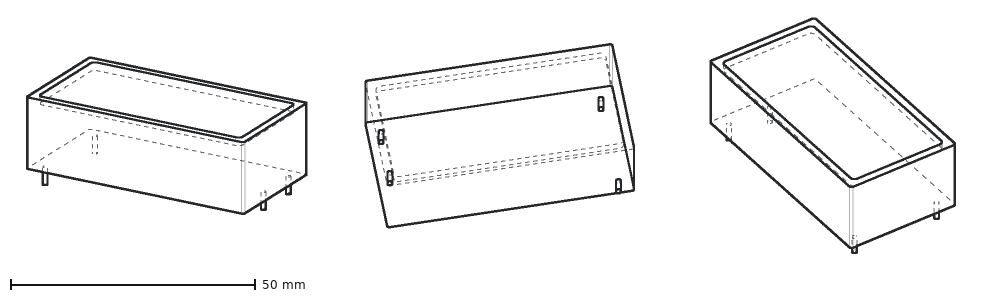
import cadquery as cq

LENGTH = 51.4
WIDTH = 26.0
TOTAL_HEIGHT = 19.55
PIN_LENGTH = 3.8
HOUSING_HEIGHT = TOTAL_HEIGHT - PIN_LENGTH
CORNER_RADIUS = 0.5

RIM_WIDTH = 1.8
PANEL_LENGTH = LENGTH - 2 * RIM_WIDTH
PANEL_WIDTH = WIDTH - 2 * RIM_WIDTH
PANEL_RADIUS = 1.0
PANEL_THICKNESS = RIM_WIDTH

PIN_DIAMETER = 1.05
PIN_X = 22.85
PIN_Y = 10.2
PIN_POSITIONS = [(-PIN_X, -PIN_Y), (-PIN_X, PIN_Y), (PIN_X, 0), (PIN_X, PIN_Y)]


def rounded_block(length, width, height, radius, bottom):
    """Block centred on the Z axis, with rounded vertical edges."""
    block = cq.Workplane("XY").workplane(offset=bottom).rect(length, width).extrude(height)
    return block.edges("|Z").fillet(radius)


def make_panel():
    """Panel whose top face is flush with the top of the housing."""
    bottom = HOUSING_HEIGHT - PANEL_THICKNESS
    return rounded_block(PANEL_LENGTH, PANEL_WIDTH, PANEL_THICKNESS, PANEL_RADIUS, bottom)


def make_housing():
    """Rounded box with a recess that the panel fills."""
    box = rounded_block(LENGTH, WIDTH, HOUSING_HEIGHT, CORNER_RADIUS, 0)
    return box.cut(make_panel())


def make_pin(x, y):
    """Round pin hanging from the underside of the housing."""
    return cq.Workplane("XY").center(x, y).circle(PIN_DIAMETER / 2).extrude(-PIN_LENGTH)


housing = make_housing()
panel = make_panel()
pins = [make_pin(x, y) for x, y in PIN_POSITIONS]

result = cq.Compound.makeCompound([housing.val(), panel.val(), *[pin.val() for pin in pins]])